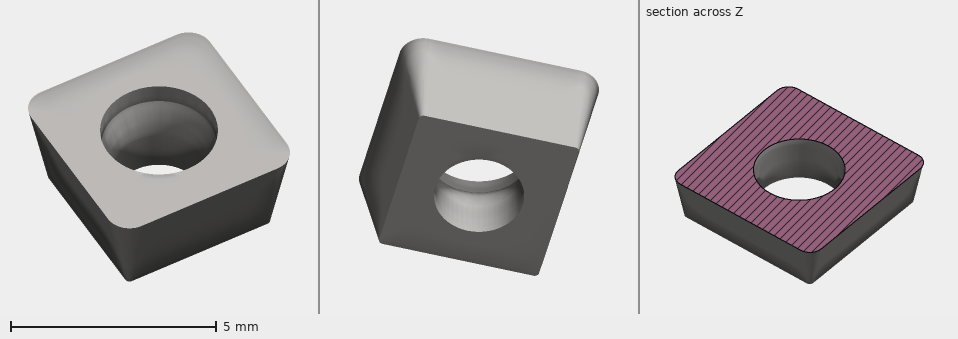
import cadquery as cq
import math

width = 5.0
height = 2.5
corner_radius = 0.6
relief_angle = 11.0

mouth_radius = 1.435
seat_radius = 1.4
bore_radius = 1.1
seat_depth = 0.5
bore_depth = 1.415


def make_body():
    """Rounded square tapering inward from the top face to the base."""
    return (
        cq.Workplane("XY", origin=(0, 0, height))
        .sketch()
        .rect(width, width)
        .vertices()
        .fillet(corner_radius)
        .finalize()
        .extrude(-height, taper=relief_angle)
    )


def make_screw_hole():
    """Revolved hole: conical mouth, convex seat tangent to the bore, bore."""
    seat_z = height - seat_depth
    bore_z = height - bore_depth
    radial_step = seat_radius - bore_radius
    axial_step = seat_z - bore_z
    arc_radius = (radial_step**2 + axial_step**2) / (2 * radial_step)
    half_angle = math.asin(axial_step / arc_radius) / 2
    arc_middle = (
        bore_radius + arc_radius * (1 - math.cos(half_angle)),
        bore_z + arc_radius * math.sin(half_angle),
    )
    return (
        cq.Workplane("XZ")
        .moveTo(0, 0)
        .lineTo(bore_radius, 0)
        .lineTo(bore_radius, bore_z)
        .threePointArc(arc_middle, (seat_radius, seat_z))
        .lineTo(mouth_radius, height)
        .lineTo(0, height)
        .close()
        .revolve(360, (0, 0, 0), (0, 1, 0))
    )


result = make_body().cut(make_screw_hole())